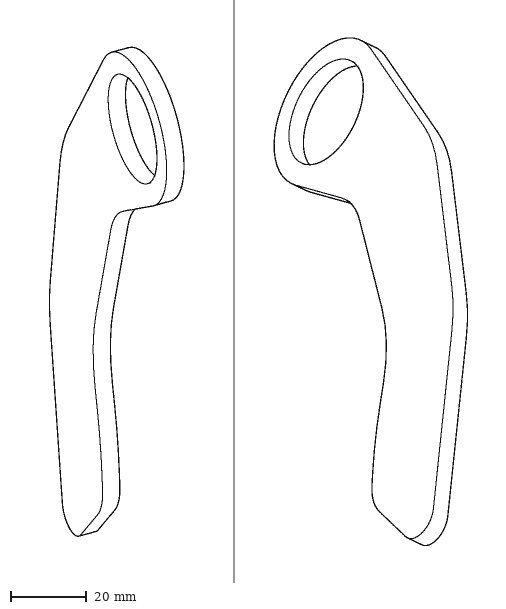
import cadquery as cq
import math

thickness = 5.0
length = 175.2
width = 72.2

eye_radius = 21.0
hole_diameter = 30.0
eye_x = width - eye_radius
eye_z = length - eye_radius

arm_corners = [
    ((7.5, 122.5), 40.0),
    ((-0.5, 65.5), 50.0),
    ((10.0, -9.1), 6.3),
    ((33.1, 20.1), 14.0),
    ((31.7, 39.6), 140.1),
    ((25.4, 68.1), 50.0),
    ((39.6, 119.6), 20.0),
]


def eye_tangent_point(corner, side):
    """Point where a line from corner touches the eye; side is 1 or -1."""
    dx = corner[0] - eye_x
    dz = corner[1] - eye_z
    angle = math.atan2(dz, dx) + side * math.acos(eye_radius / math.hypot(dx, dz))
    return eye_x + eye_radius * math.cos(angle), eye_z + eye_radius * math.sin(angle)


def rounded_corner(before, corner, after, radius):
    """Start, middle and end of the arc that rounds a sharp corner."""
    to_before = cq.Vector(before[0] - corner[0], before[1] - corner[1]).normalized()
    to_after = cq.Vector(after[0] - corner[0], after[1] - corner[1]).normalized()
    half_angle = to_before.getAngle(to_after) / 2
    setback = radius / math.tan(half_angle)
    middle_distance = radius / math.sin(half_angle) - radius
    tip = cq.Vector(*corner)
    start = tip + to_before * setback
    middle = tip + (to_before + to_after).normalized() * middle_distance
    end = tip + to_after * setback
    return [(point.x, point.y) for point in (start, middle, end)]


def lever_outline():
    """Closed outline with straight edges tangent to the eye and the bends."""
    corners = [corner for corner, _ in arm_corners]
    back_tangent = eye_tangent_point(corners[0], -1)
    front_tangent = eye_tangent_point(corners[-1], 1)
    path = [back_tangent] + corners + [front_tangent]

    outline = cq.Workplane("XZ").moveTo(*back_tangent)
    for index, (corner, radius) in enumerate(arm_corners):
        start, middle, end = rounded_corner(path[index], corner, path[index + 2], radius)
        outline = outline.lineTo(*start).threePointArc(middle, end)
    eye_top = (eye_x, length)
    return outline.lineTo(*front_tangent).threePointArc(eye_top, back_tangent).close()


lever = lever_outline().extrude(thickness / 2, both=True)
hole = (
    cq.Workplane("XZ")
    .center(eye_x, eye_z)
    .circle(hole_diameter / 2)
    .extrude(thickness, both=True)
)
result = lever.cut(hole)